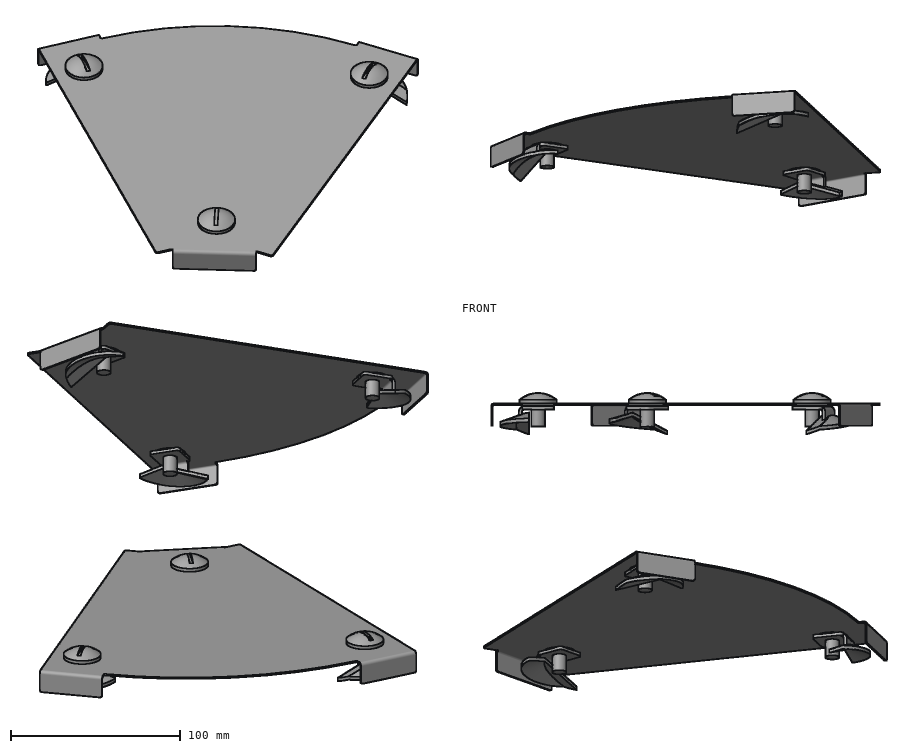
import cadquery as cq
import math

BEND_ANGLE = 45.0
BISECTOR = BEND_ANGLE / 2
DIAGONAL = math.sqrt(0.5)

SHEET = 1.0
FOLD_RADIUS = 2.0
EDGE_END = 290.7
EDGE_MIDDLE = 295.7
TAB_REACH = 293.2
TAB_LENGTH = 37.9
INNER_END = 89.5
INNER_REACH = 84.2
INNER_LENGTH = 49.3
FLANGE_DEPTH = 13.3
CORNER_RADIUS = 1.4
NOTCH_RADIUS = 1.0

OUTER_LATCH_ALONG = 265.5
OUTER_LATCH_INSET = 18.8
INNER_LATCH_REACH = 112.5

HEAD_RADIUS = 11.0
RIM_HEIGHT = 2.0
DOME_RADIUS = 10.0
DOME_BASE = 2.8
HEAD_HEIGHT = 6.2
SLOT_WIDTH = 2.0
SLOT_FLOOR = 4.1
SHANK_RADIUS = 4.1
SHANK_END = -13.8

WASHER_HEIGHT = 0.7
WASHER_RADIUS = 9.2

BASE_HALF = 9.5
BASE_CORNER = 2.0
CLIP_SHEET = 2.0
ARM_REACH = 11.5
ARM_BEND = 3.5
WING_RADIUS = 22.5
WING_CHORD = 5.3
WING_RIM_Z = -11.2
WING_DROP = 0.37
WING_TILT = 0.1
WING_CORNER = 0.7
WING_HEIGHT = 2.18
TAIL_ANGLE = 60.0
TAIL_AXIS_Z = -9.2
TAIL_SLOPE = 0.43

BASE_TOP = -SHEET - WASHER_HEIGHT
BASE_BOTTOM = BASE_TOP - CLIP_SHEET
CUT_SIZE = 91.8


def on_ray(distance, angle):
    """Point at a distance from the bend centre, by angle clockwise from -X."""
    turn = math.radians(angle)
    return (-distance * math.cos(turn), distance * math.sin(turn))


def mirrored(point):
    """Reflection of a point about the bisector of the bend."""
    angle = math.degrees(math.atan2(point[1], -point[0]))
    return on_ray(math.hypot(*point), BEND_ANGLE - angle)


def turned(body, angle):
    """Body turned about the vertical axis through the origin."""
    return body.rotate((0, 0, 0), (0, 0, 1), angle)


def latch_places():
    """The x, y and turn of each latch: two beside the curved edge and one on the bisector."""
    outer = (-OUTER_LATCH_ALONG, OUTER_LATCH_INSET)
    inner = on_ray(INNER_LATCH_REACH, BISECTOR)
    return [(*outer, 0), (*mirrored(outer), -BEND_ANGLE), (*inner, 180 - BISECTOR)]


def round_corners(plate, points, radius):
    """Fillet the vertical edges of a plate at the given points."""
    reach = radius / 4
    for x, y in points:
        near = cq.selectors.BoxSelector(
            (x - reach, y - reach, -SHEET), (x + reach, y + reach, SHEET)
        )
        plate = plate.edges("|Z").edges(near).fillet(radius)
    return plate


def make_plate():
    """Flat part of the cover, up to the start of each flange fold."""
    tab_x = -TAB_REACH + FOLD_RADIUS
    tab_start = (tab_x, 0)
    tab_end = (tab_x, TAB_LENGTH)
    notch = (-math.sqrt(EDGE_END**2 - TAB_LENGTH**2), TAB_LENGTH)
    inner_end = (-INNER_END, 0)
    half_angle = math.radians(BISECTOR)
    fold_reach = INNER_REACH + FOLD_RADIUS
    inner_corner_y = (fold_reach - INNER_END * math.cos(half_angle)) / math.sin(half_angle)
    inner_corner = (-INNER_END, inner_corner_y)
    plate = (
        cq.Workplane("XY")
        .moveTo(*tab_start)
        .lineTo(*inner_end)
        .lineTo(*inner_corner)
        .lineTo(*mirrored(inner_corner))
        .lineTo(*mirrored(inner_end))
        .lineTo(*mirrored(tab_start))
        .lineTo(*mirrored(tab_end))
        .lineTo(*mirrored(notch))
        .threePointArc(on_ray(EDGE_MIDDLE, BISECTOR), notch)
        .lineTo(*tab_end)
        .close()
        .extrude(-SHEET)
    )
    plate = round_corners(plate, [inner_end, mirrored(inner_end)], CORNER_RADIUS)
    return round_corners(plate, [notch, mirrored(notch)], NOTCH_RADIUS)


def make_flange(outside_x, length):
    """Folded strip along +Y, with its outside face at outside_x and the sheet on its +X side."""
    fold_x = outside_x + FOLD_RADIUS
    inside_x = outside_x + SHEET
    inside_radius = FOLD_RADIUS - SHEET
    outer_middle = (fold_x - FOLD_RADIUS * DIAGONAL, FOLD_RADIUS * (DIAGONAL - 1))
    inner_middle = (fold_x - inside_radius * DIAGONAL, inside_radius * DIAGONAL - FOLD_RADIUS)
    return (
        cq.Workplane("XZ")
        .moveTo(fold_x, 0)
        .threePointArc(outer_middle, (outside_x, -FOLD_RADIUS))
        .lineTo(outside_x, -FLANGE_DEPTH)
        .lineTo(inside_x, -FLANGE_DEPTH)
        .lineTo(inside_x, -FOLD_RADIUS)
        .threePointArc(inner_middle, (fold_x, -SHEET))
        .close()
        .extrude(-length)
        .faces("<Z").edges("|X").fillet(CORNER_RADIUS)
    )


def make_cover():
    first_flange = make_flange(-TAB_REACH, TAB_LENGTH)
    second_flange = turned(first_flange.mirror("XZ"), -BEND_ANGLE)
    centred_flange = make_flange(INNER_REACH, INNER_LENGTH).translate((0, -INNER_LENGTH / 2, 0))
    inner_flange = turned(centred_flange, 180 - BISECTOR)
    cover = make_plate().union(first_flange).union(second_flange).union(inner_flange)
    for x, y, _ in latch_places():
        cover = cover.cut(cq.Workplane("XY").center(x, y).circle(SHANK_RADIUS).extrude(-SHEET))
    return cover


def make_screw():
    rise = HEAD_HEIGHT - DOME_BASE
    sphere_radius = (DOME_RADIUS**2 + rise**2) / (2 * rise)
    middle_x = DOME_RADIUS / 2
    middle_z = HEAD_HEIGHT - sphere_radius + math.sqrt(sphere_radius**2 - middle_x**2)
    body = (
        cq.Workplane("XZ")
        .moveTo(0, SHANK_END)
        .lineTo(SHANK_RADIUS, SHANK_END)
        .lineTo(SHANK_RADIUS, 0)
        .lineTo(HEAD_RADIUS, 0)
        .lineTo(HEAD_RADIUS, RIM_HEIGHT)
        .lineTo(DOME_RADIUS, DOME_BASE)
        .threePointArc((middle_x, middle_z), (0, HEAD_HEIGHT))
        .close()
        .revolve(360, (0, 0, 0), (0, 1, 0))
    )
    slot = (
        cq.Workplane("XY")
        .workplane(offset=SLOT_FLOOR)
        .rect(2 * HEAD_RADIUS, SLOT_WIDTH)
        .extrude(HEAD_HEIGHT)
    )
    return body.cut(slot)


def make_washer():
    return (
        cq.Workplane("XY")
        .workplane(offset=-SHEET)
        .circle(WASHER_RADIUS)
        .circle(SHANK_RADIUS)
        .extrude(-WASHER_HEIGHT)
    )


def make_space_under_wing_top():
    """Everything under the top of the wing: a tilted cone cut off by the plane of the tail."""
    tip_z = WING_RIM_Z + WING_DROP * WING_RADIUS
    skirt_z = tip_z - WING_DROP * CUT_SIZE
    cone = (
        cq.Workplane("XZ")
        .polyline([(0, tip_z), (CUT_SIZE, skirt_z), (0, skirt_z)])
        .close()
        .revolve(360, (0, 0, 0), (0, 1, 0))
        .rotate((0, 0, tip_z), (1, 0, tip_z), -math.degrees(math.atan(WING_TILT)))
    )
    direction = math.radians(TAIL_ANGLE)
    fall_x = TAIL_SLOPE * math.cos(direction)
    fall_y = TAIL_SLOPE * math.sin(direction)
    tail_plane = cq.Plane(
        origin=(0, 0, TAIL_AXIS_Z), xDir=(1, 0, -fall_x), normal=(fall_x, fall_y, 1)
    )
    under_tail = cq.Workplane(tail_plane).rect(2 * CUT_SIZE, 2 * CUT_SIZE).extrude(-CUT_SIZE)
    return cone.intersect(under_tail)


def make_clip_base():
    return (
        cq.Workplane("XY")
        .workplane(offset=BASE_TOP)
        .rect(2 * BASE_HALF, 2 * BASE_HALF)
        .extrude(-CLIP_SHEET)
        .edges("|Z").fillet(BASE_CORNER)
    )


def make_clip_arm():
    """Strip that runs from the base out and down, as deep as the screw shank."""
    half_width = BASE_HALF - BASE_CORNER
    bend_x = -ARM_REACH + ARM_BEND
    bend_z = BASE_TOP - ARM_BEND
    inside_x = -ARM_REACH + CLIP_SHEET
    outer_leg = ARM_BEND * DIAGONAL
    inner_leg = (ARM_BEND - CLIP_SHEET) * DIAGONAL
    return (
        cq.Workplane("XZ")
        .moveTo(-SHANK_RADIUS, BASE_TOP)
        .lineTo(bend_x, BASE_TOP)
        .threePointArc((bend_x - outer_leg, bend_z + outer_leg), (-ARM_REACH, bend_z))
        .lineTo(-ARM_REACH, SHANK_END)
        .lineTo(inside_x, SHANK_END)
        .lineTo(inside_x, bend_z)
        .threePointArc((bend_x - inner_leg, bend_z + inner_leg), (bend_x, BASE_BOTTOM))
        .lineTo(-SHANK_RADIUS, BASE_BOTTOM)
        .close()
        .extrude(half_width, both=True)
    )


def make_clip():
    under_wing_top = make_space_under_wing_top()
    chord_half = math.sqrt(WING_RADIUS**2 - WING_CHORD**2)
    half_disc = (
        cq.Workplane("XY")
        .moveTo(-WING_CHORD, -chord_half)
        .threePointArc((-WING_RADIUS, 0), (-WING_CHORD, chord_half))
        .close()
        .extrude(-CUT_SIZE / 2)
        .edges("|Z and <Y").fillet(WING_CORNER)
    )
    wing = half_disc.intersect(under_wing_top).cut(under_wing_top.translate((0, 0, -WING_HEIGHT)))
    arm = make_clip_arm().cut(under_wing_top)
    shank_hole = cq.Workplane("XY").circle(SHANK_RADIUS).extrude(SHANK_END)
    return make_clip_base().union(arm).union(wing).cut(shank_hole)


def at_latches(body):
    """One copy of a latch part at each latch position."""
    return [turned(body, turn).translate((x, y, 0)).solids().val() for x, y, turn in latch_places()]


cover = make_cover()
screws = at_latches(make_screw())
washers = at_latches(make_washer())
clips = at_latches(make_clip())

result = cq.Compound.makeCompound([cover.solids().val(), *screws, *washers, *clips])